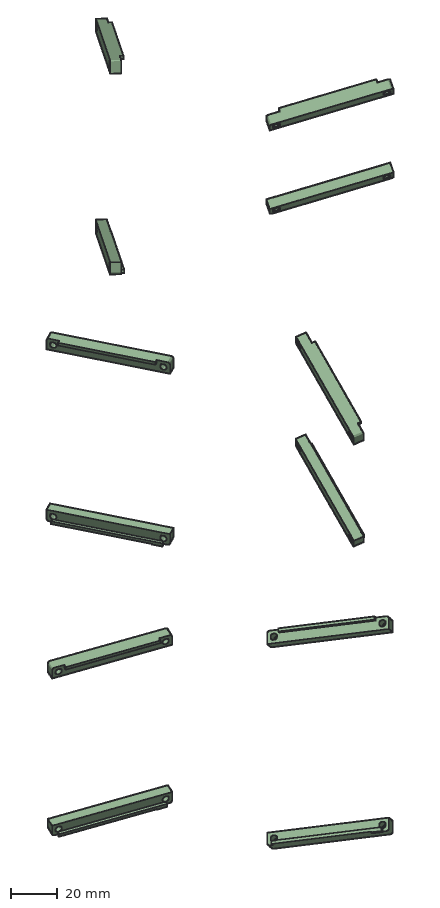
import cadquery as cq
import math

SPAN = 43.0
TOTAL_HEIGHT = 98.1

DIAGONAL_ANGLE = -45.0
BAR_DEPTH = 4.8
BAR_LENGTH = SPAN * math.sqrt(2) - BAR_DEPTH
BAR_HEIGHT = 6.0
CORNER_RADIUS = 1.3

HOLE_DIAMETER = 2.9
HOLE_EDGE_BEVEL = 0.3
BEVEL_ANGLE = 90.0
HOLE_END_DISTANCE = 3.0
HOLE_SPACING = BAR_LENGTH - 2 * HOLE_END_DISTANCE

LIP_DEPTH = 1.6
LIP_HEIGHT = 1.5
UPPER_LIP_LENGTH = 44.15
LOWER_LIP_LENGTH = 50.4
LIP_OFFSET = 0.2

FOOT_LENGTH = 4.7
FOOT_HEIGHT = 0.3

TOP_Z = TOTAL_HEIGHT / 2
FOOT_Z = -TOP_Z
UPPER_BAR_Z = TOP_Z - BAR_HEIGHT
LOWER_BAR_Z = FOOT_Z + FOOT_HEIGHT


def drilled_bar(bottom_z, rounded_edges):
    """Bar along X with two rounded end edges and two bevelled through holes along Y."""
    bar = cq.Workplane("XY").box(BAR_LENGTH, BAR_DEPTH, BAR_HEIGHT, centered=(True, True, False))
    bar = bar.faces(rounded_edges).edges("|Y").fillet(CORNER_RADIUS)
    bar = (
        bar.faces("<Y")
        .workplane(origin=(0, 0, BAR_HEIGHT / 2))
        .rarray(HOLE_SPACING, 1, 2, 1)
        .cskHole(HOLE_DIAMETER, HOLE_DIAMETER + 2 * HOLE_EDGE_BEVEL, BEVEL_ANGLE)
    )
    return bar.translate((0, 0, bottom_z))


def back_block(length, height, center_x, bottom_z):
    """Block of lip depth standing against the back face of a bar."""
    return (
        cq.Workplane("XY", origin=(center_x, BAR_DEPTH / 2, bottom_z))
        .box(length, LIP_DEPTH, height, centered=(True, False, False))
    )


def turn_to_diagonal(body):
    return body.rotate((0, 0, 0), (0, 0, 1), DIAGONAL_ANGLE)


def make_upper_bar():
    lip = back_block(UPPER_LIP_LENGTH, LIP_HEIGHT, LIP_OFFSET, TOP_Z - LIP_HEIGHT)
    return turn_to_diagonal(drilled_bar(UPPER_BAR_Z, ">Z").union(lip))


def make_lower_bar():
    lip = back_block(LOWER_LIP_LENGTH, LIP_HEIGHT, LIP_OFFSET, LOWER_BAR_Z)
    foot_x = LIP_OFFSET + (FOOT_LENGTH - LOWER_LIP_LENGTH) / 2
    foot = back_block(FOOT_LENGTH, FOOT_HEIGHT, foot_x, FOOT_Z)
    return turn_to_diagonal(drilled_bar(LOWER_BAR_Z, "<Z").union(lip).union(foot))


upper_bar = make_upper_bar()
lower_bar = make_lower_bar()

result = cq.Compound.makeCompound([upper_bar.val(), lower_bar.val()])